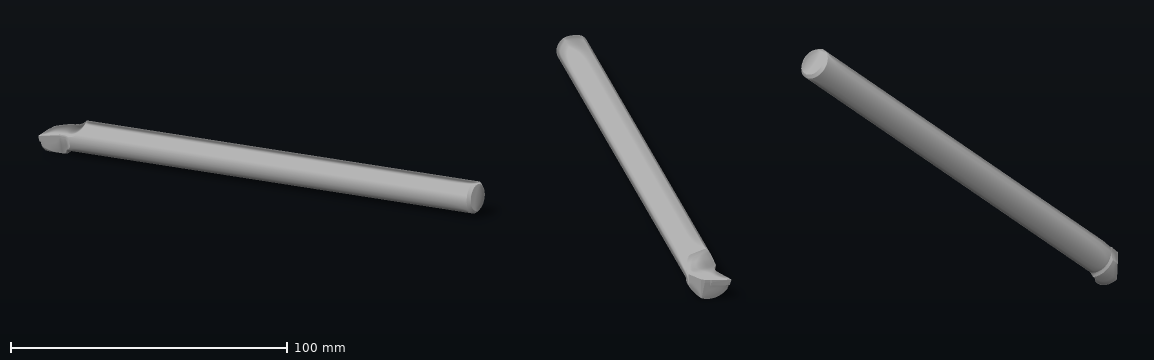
import cadquery as cq
import math

LENGTH = 180.0

SHANK_RADIUS = 6.03
FLAT_HEIGHT = 5.0
END_CHAMFER = 1.0

HEAD_RADIUS = 7.83
HEAD_CENTER_Y = -0.9
HEAD_BOTTOM = -7.0
HEAD_CENTER_Z = HEAD_BOTTOM + HEAD_RADIUS
HEAD_LENGTH = 8.0
NECK_LENGTH = 1.0
TIP_Y = HEAD_CENTER_Y - HEAD_RADIUS
FLANK_ANGLE = 30.0
FRONT_RELIEF_ANGLE = 4.0
FLANK_RELIEF_ANGLE = 15.0

FACE_SETBACK = 0.4
FACE_TOP_Y = 1.3
BEVEL_START = (0.9, 2.5)
BEVEL_END_X = 5.0
RELIEF_RUNOUT_START = 7.7
RELIEF_RUNOUT_RADIUS = 5.4

INSERT_LENGTH = 6.8
INSERT_BACK_Y = -1.0
INSERT_THICKNESS = 2.3

RAKE_ANGLE = 7.0
TIP_HEIGHT = 0.2
GULLET_RADIUS = 7.7
GULLET_ANGLE = 19.5
GULLET_X = 8.0
TOOL_REACH = 36.0
QUARTER_ARC_MID = 45.0

rake_slope = math.tan(math.radians(RAKE_ANGLE))
rake_height = TIP_HEIGHT - TIP_Y * rake_slope
flank_rise = INSERT_LENGTH * math.tan(math.radians(FLANK_ANGLE))
relief_y = TIP_Y + flank_rise


def along_z(outline):
    """Extrude a closed XY outline well past the bar, both ways."""
    return outline.extrude(TOOL_REACH, both=True)


def shank():
    bar = cq.Workplane("YZ").workplane(offset=HEAD_LENGTH).circle(SHANK_RADIUS)
    bar = bar.extrude(LENGTH - HEAD_LENGTH).faces(">X").chamfer(END_CHAMFER)
    above_flat = cq.Workplane("XY").workplane(offset=FLAT_HEIGHT)
    return bar.cut(above_flat.rect(3 * LENGTH, TOOL_REACH).extrude(TOOL_REACH))


def head():
    section = cq.Workplane("YZ").center(HEAD_CENTER_Y, HEAD_CENTER_Z).circle(HEAD_RADIUS)
    neck = (
        cq.Workplane("YZ", origin=(HEAD_LENGTH, HEAD_CENTER_Y, HEAD_CENTER_Z))
        .circle(HEAD_RADIUS)
        .workplane(offset=NECK_LENGTH)
        .center(-HEAD_CENTER_Y, -HEAD_CENTER_Z)
        .circle(SHANK_RADIUS)
        .loft()
    )
    return section.extrude(HEAD_LENGTH).union(neck)


def nose_bevel():
    """Corner removed from the +Y side of the nose."""
    corner = cq.Workplane("XY").polyline(
        [
            (BEVEL_END_X, SHANK_RADIUS),
            BEVEL_START,
            (FACE_SETBACK, FACE_TOP_Y),
            (-TOOL_REACH, FACE_TOP_Y),
            (-TOOL_REACH, TOOL_REACH),
            (BEVEL_END_X, TOOL_REACH),
        ]
    )
    return along_z(corner.close())


def head_side():
    """Head material beyond the shank radius on the +Y side."""
    return cq.Workplane("XY").box(LENGTH, TOOL_REACH, TOOL_REACH).translate(
        (0, SHANK_RADIUS + TOOL_REACH / 2, 0)
    )


def side_relief():
    """Space beside the flank and the head, leaning under the bar below the tip."""
    lean = TOOL_REACH * math.tan(math.radians(FLANK_RELIEF_ANGLE))
    runout_end = (RELIEF_RUNOUT_START + RELIEF_RUNOUT_RADIUS, relief_y - RELIEF_RUNOUT_RADIUS)
    runout_mid = (
        RELIEF_RUNOUT_START + RELIEF_RUNOUT_RADIUS * math.sin(math.radians(QUARTER_ARC_MID)),
        relief_y - RELIEF_RUNOUT_RADIUS * (1 - math.cos(math.radians(QUARTER_ARC_MID))),
    )
    outline = (
        cq.Workplane("XY")
        .moveTo(-INSERT_LENGTH, TIP_Y - flank_rise)
        .lineTo(INSERT_LENGTH, relief_y)
        .lineTo(RELIEF_RUNOUT_START, relief_y)
        .threePointArc(runout_mid, runout_end)
        .lineTo(runout_end[0], -TOOL_REACH)
        .lineTo(-INSERT_LENGTH, -TOOL_REACH)
        .close()
    )
    face = cq.Face.makeFromWires(outline.val())
    below_tip = cq.Solid.extrudeLinear(face, cq.Vector(0, lean, -TOOL_REACH))
    above_tip = cq.Solid.extrudeLinear(face, cq.Vector(0, 0, TOOL_REACH))
    relief = cq.Workplane(below_tip).union(cq.Workplane(above_tip))
    return relief.translate((0, 0, TIP_HEIGHT))


def front_relief():
    """Space ahead of the front face, which leans back below the cutting tip."""
    setback = TOOL_REACH * math.tan(math.radians(FRONT_RELIEF_ANGLE))
    profile = cq.Workplane("XZ").polyline(
        [
            (0, TIP_HEIGHT),
            (setback, TIP_HEIGHT - TOOL_REACH),
            (-TOOL_REACH, TIP_HEIGHT - TOOL_REACH),
            (-TOOL_REACH, TOOL_REACH),
            (0, TOOL_REACH),
        ]
    )
    return profile.close().extrude(TOOL_REACH, both=True)


def gullet():
    """Space above the rake face, ending in an arc that climbs to the shank."""
    rake_normal = cq.Vector(0, -rake_slope, 1).normalized()
    heading = math.radians(GULLET_ANGLE)
    axis = cq.Vector(math.sin(heading), -math.cos(heading), -rake_slope * math.cos(heading)).normalized()
    plane = cq.Plane(origin=(GULLET_X, 0, rake_height), xDir=rake_normal.cross(axis), normal=axis)
    arc_mid = math.radians(QUARTER_ARC_MID)
    return (
        cq.Workplane(plane)
        .moveTo(-TOOL_REACH, 0)
        .lineTo(0, 0)
        .threePointArc(
            (GULLET_RADIUS * math.sin(arc_mid), GULLET_RADIUS * (1 - math.cos(arc_mid))),
            (GULLET_RADIUS, GULLET_RADIUS),
        )
        .lineTo(-TOOL_REACH, GULLET_RADIUS)
        .close()
        .extrude(TOOL_REACH, both=True)
    )


def insert_seat():
    """Region of the head taken by the insert: a slanted plan above the tilted seat."""
    plan = cq.Workplane("XY").polyline(
        [
            (0, TIP_Y),
            (INSERT_LENGTH, relief_y),
            (INSERT_LENGTH, INSERT_BACK_Y + flank_rise),
            (0, INSERT_BACK_Y),
        ]
    )
    seat_height = rake_height - INSERT_THICKNESS / math.cos(math.radians(RAKE_ANGLE))
    seat_tilt = TOOL_REACH * rake_slope
    above_seat = cq.Workplane("YZ").polyline(
        [
            (-TOOL_REACH, seat_height - seat_tilt),
            (TOOL_REACH, seat_height + seat_tilt),
            (TOOL_REACH, TOOL_REACH),
            (-TOOL_REACH, TOOL_REACH),
        ]
    )
    return along_z(plan.close()).intersect(above_seat.close().extrude(TOOL_REACH))


bar = shank().union(head())
for cutter in (head_side(), nose_bevel(), side_relief(), front_relief(), gullet()):
    bar = bar.cut(cutter)
seat = insert_seat()
holder = bar.cut(seat).cut(front_relief().translate((FACE_SETBACK, 0, 0)))
insert = bar.intersect(seat)

result = cq.Compound.makeCompound([*holder.solids().vals(), *insert.solids().vals()])